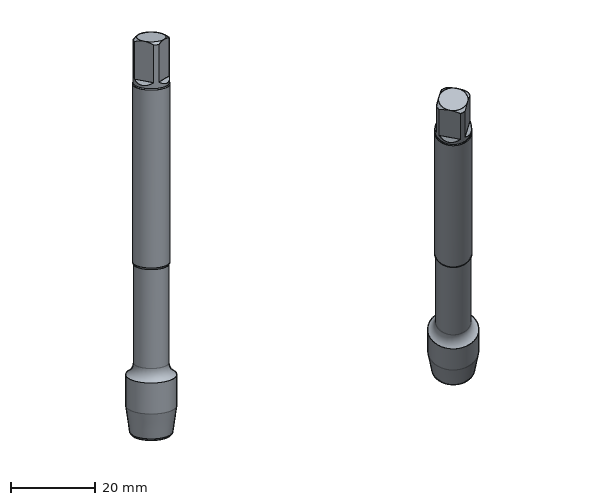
import cadquery as cq
import math

total_length = 100.0

head_diameter = 12.16
head_top_z = 15.0
taper_top_z = 7.2
taper_tip_diameter = 10.3
tip_chamfer_width = 0.5
tip_chamfer_height = 0.6

neck_diameter = 8.5
flare_height = 3.0
neck_top_z = 42.9
neck_chamfer_height = 0.5

shank_diameter = 9.0
shank_top_z = 88.2
shank_chamfer_height = 0.3
square_blank_diameter = 8.7

square_width = 7.0
square_length = 10.0
runout_angle = 45.0
square_top_diameter = square_width
square_top_chamfer_height = 0.5


def make_head():
    """Solid of revolution: chamfered tip, tapered lead and full-diameter thread section."""
    head_radius = head_diameter / 2
    taper_radius = taper_tip_diameter / 2
    return (
        cq.Workplane("XZ")
        .lineTo(taper_radius - tip_chamfer_width, 0)
        .lineTo(taper_radius, tip_chamfer_height)
        .lineTo(head_radius, taper_top_z)
        .lineTo(head_radius, head_top_z)
        .lineTo(0, head_top_z)
        .close()
        .revolve(360, (0, 0), (0, 1))
    )


def make_turned_shank():
    """Solid of revolution: flare, neck, shank and the round blank for the square."""
    head_radius = head_diameter / 2
    neck_radius = neck_diameter / 2
    shank_radius = shank_diameter / 2
    blank_radius = square_blank_diameter / 2

    flare_width = head_radius - neck_radius
    flare_top_z = head_top_z + flare_height
    flare_radius = (flare_height**2 + flare_width**2) / (2 * flare_width)
    half_sweep = math.asin(flare_height / flare_radius) / 2
    flare_mid_point = (
        neck_radius + flare_radius * (1 - math.cos(half_sweep)),
        flare_top_z - flare_radius * math.sin(half_sweep),
    )

    return (
        cq.Workplane("XZ")
        .moveTo(0, head_top_z)
        .lineTo(head_radius, head_top_z)
        .threePointArc(flare_mid_point, (neck_radius, flare_top_z))
        .lineTo(neck_radius, neck_top_z)
        .lineTo(shank_radius, neck_top_z + neck_chamfer_height)
        .lineTo(shank_radius, shank_top_z)
        .lineTo(blank_radius, shank_top_z + shank_chamfer_height)
        .lineTo(blank_radius, total_length - square_top_chamfer_height)
        .lineTo(square_top_diameter / 2, total_length)
        .lineTo(0, total_length)
        .close()
        .revolve(360, (0, 0), (0, 1))
    )


def make_flat_cutter():
    """Prism that cuts the +X flat of the square, with a sloped runout at its foot."""
    flat_x = square_width / 2
    flat_bottom_z = total_length - square_length
    outer_x = shank_diameter
    runout_drop = (outer_x - flat_x) * math.tan(math.radians(runout_angle))
    return (
        cq.Workplane("XZ")
        .moveTo(flat_x, flat_bottom_z)
        .lineTo(outer_x, flat_bottom_z - runout_drop)
        .lineTo(outer_x, total_length)
        .lineTo(flat_x, total_length)
        .close()
        .extrude(shank_diameter / 2, both=True)
    )


def make_shank():
    """Turned shank with the four flats of the driving square cut into its end."""
    shank = make_turned_shank()
    flat_cutter = make_flat_cutter()
    for side in range(4):
        shank = shank.cut(flat_cutter.rotate((0, 0, 0), (0, 0, 1), side * 90))
    return shank


head = make_head()
shank = make_shank()

result = cq.Compound.makeCompound([head.val(), shank.val()])